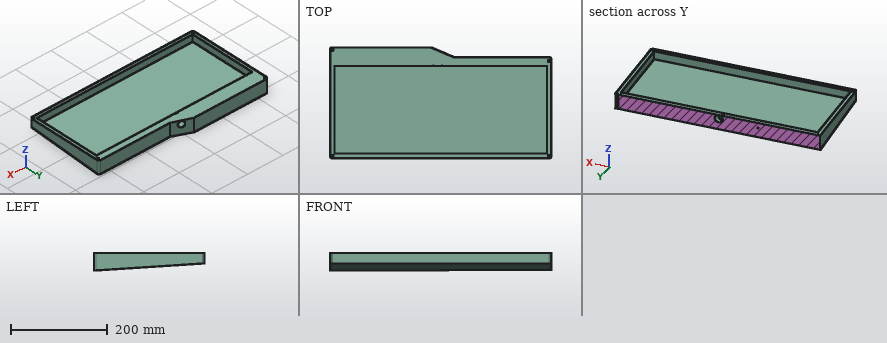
import cadquery as cq
import math

WIDTH = 458.54
DEPTH = 230.0
REAR_HEIGHT = 37.0
FRONT_HEIGHT = 22.0

SETBACK = 20.5
STEP_START_X = 209.0
STEP_END_X = 257.5
CORNER_RADIUS = 5.0

SIDE_WALL = 9.5
FRONT_WALL = 9.5
POCKET_LENGTH = 182.0
POCKET_DEPTH = 18.9

SCREW_DIAMETER = 3.4
SCREW_SIDE_INSET = 5.0
SCREW_END_INSET = 5.0
SCREW_RIGHT_REAR_INSET = 8.0

CABLE_DIAMETER = 16.0
CABLE_X = 222.5
CABLE_DROP = 9.5


def outline_prism():
    """Block with the stepped plan outline and rounded outer corners."""
    right_depth = DEPTH - SETBACK
    outline = [
        (0, 0),
        (WIDTH, 0),
        (WIDTH, right_depth),
        (STEP_END_X, right_depth),
        (STEP_START_X, DEPTH),
        (0, DEPTH),
    ]
    prism = cq.Workplane("XY").polyline(outline).close().extrude(REAR_HEIGHT)
    left_corners = prism.edges("|Z and <X")
    right_corners = prism.edges("|Z and >X")
    return prism.newObject(left_corners.vals() + right_corners.vals()).fillet(CORNER_RADIUS)


def underside_wedge():
    """Material removed below the sloping underside, deepest at the front."""
    front_rise = REAR_HEIGHT - FRONT_HEIGHT
    profile = [(0, 0), (DEPTH, 0), (0, front_rise)]
    return cq.Workplane("YZ").polyline(profile).close().extrude(WIDTH)


def tray_pocket():
    """Flat-floored rectangular pocket open at the top face."""
    pocket_width = WIDTH - 2 * SIDE_WALL
    floor_corner = (SIDE_WALL, FRONT_WALL, REAR_HEIGHT - POCKET_DEPTH)
    pocket = cq.Workplane("XY").box(pocket_width, POCKET_LENGTH, POCKET_DEPTH, centered=False)
    return pocket.translate(floor_corner)


def screw_holes():
    """Four vertical holes that run right through the body."""
    left_x = SCREW_SIDE_INSET
    right_x = WIDTH - SCREW_SIDE_INSET
    centres = [
        (left_x, SCREW_END_INSET),
        (right_x, SCREW_END_INSET),
        (left_x, DEPTH - SCREW_END_INSET),
        (right_x, DEPTH - SETBACK - SCREW_RIGHT_REAR_INSET),
    ]
    return cq.Workplane("XY").pushPoints(centres).circle(SCREW_DIAMETER / 2).extrude(REAR_HEIGHT)


def cable_hole():
    """Horizontal hole from the pocket's rear wall, square to the slanted rear face."""
    slant_angle = math.atan2(SETBACK, STEP_END_X - STEP_START_X)
    outward = cq.Vector(math.sin(slant_angle), math.cos(slant_angle), 0)
    pocket_rear_y = FRONT_WALL + POCKET_LENGTH
    wall_point = cq.Vector(CABLE_X, pocket_rear_y, REAR_HEIGHT - CABLE_DROP)
    start = wall_point - outward * CABLE_DIAMETER
    plane = cq.Plane(origin=start.toTuple(), xDir=(0, 0, 1), normal=outward.toTuple())
    length_past_rear = CABLE_DIAMETER + DEPTH - pocket_rear_y
    return cq.Workplane(plane).circle(CABLE_DIAMETER / 2).extrude(length_past_rear)


result = (
    outline_prism()
    .cut(underside_wedge())
    .cut(tray_pocket())
    .cut(screw_holes())
    .cut(cable_hole())
)